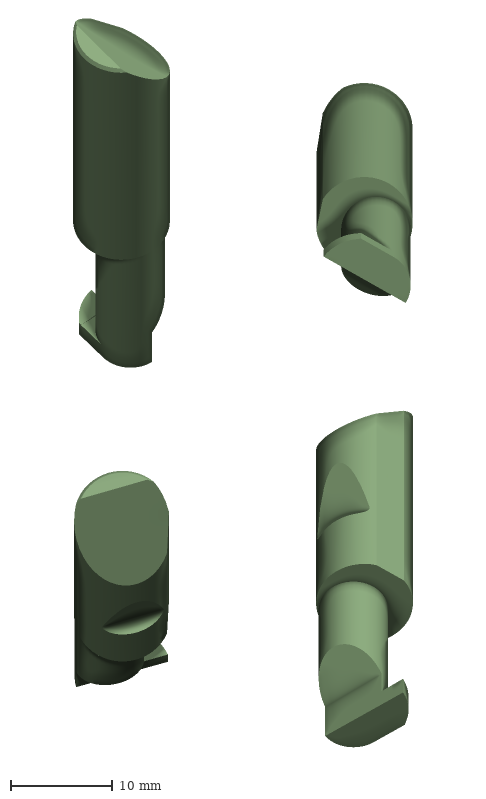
import cadquery as cq
import math

total_length = 50.8
shank_diameter = 9.55
shank_radius = shank_diameter / 2
shank_bottom = 19.0
top_chamfer = 0.3
margin = 10.15

neck_diameter = 6.85
neck_radius = neck_diameter / 2
neck_center_x = shank_radius - neck_radius
relief_start = 5.3

bevel_height = 7.65
flat_angle = 20.0
notch_bottom = 27.65
notch_top = 37.3
notch_taper = 8.0
notch_radius = 0.95

head_blank_height = 3.05
tip_top = 2.35
shoulder_top = 2.15
tip_x = -4.65
head_corner = (-2.8, -3.15)
head_arc_middle = (-4.1, -1.7)
head_front_left = -2.45
ridge_x = neck_center_x - neck_radius
relief_x = 2.0
relief_y = 3.0


def side_prism(points):
    """Prism along X, wide enough to cross the shank, from (y, z) points."""
    return cq.Workplane("YZ").polyline(points).close().extrude(margin, both=True)


def make_shank():
    shank = cq.Workplane("XY").workplane(offset=shank_bottom).circle(shank_radius)
    shank = shank.extrude(total_length - shank_bottom).faces(">Z").chamfer(top_chamfer)
    bevel = side_prism([
        (shank_radius - bevel_height, total_length),
        (shank_radius + margin, total_length - bevel_height - margin),
        (shank_radius + margin, total_length),
    ])
    return shank.cut(bevel).cut(make_side_flat()).cut(make_clamp_notch())


def make_side_flat():
    """Material outside a chord that starts at the -X point of the shank."""
    reach = margin * math.tan(math.radians(flat_angle))
    outline = [(-shank_radius, 0), (-shank_radius + reach, margin), (-shank_radius, margin)]
    return cq.Workplane("XY").polyline(outline).close().extrude(total_length)


def make_clamp_notch():
    """Tapered notch in the +Y side with a rounded lower corner."""
    slope = math.tan(math.radians(notch_taper))
    floor_y = shank_radius - (notch_top - notch_bottom) * slope
    outer_y = shank_radius + margin
    notch = side_prism([
        (floor_y, notch_bottom),
        (shank_radius, notch_top),
        (outer_y, notch_top),
        (outer_y, notch_bottom),
    ])
    return notch.edges("|X and <Y").fillet(notch_radius)


def make_neck():
    neck = cq.Workplane("XY").center(neck_center_x, 0).circle(neck_radius).extrude(shank_bottom)
    relief = side_prism([
        (0, -margin),
        (0, relief_start),
        (margin, relief_start + margin),
        (margin, -margin),
    ])
    return neck.cut(relief)


def make_head():
    blank = (
        cq.Workplane("XY")
        .moveTo(tip_x, 0)
        .threePointArc(head_arc_middle, head_corner)
        .lineTo(head_front_left, -neck_radius)
        .lineTo(neck_center_x, -neck_radius)
        .lineTo(neck_center_x, 0)
        .close()
        .extrude(head_blank_height)
    )
    return blank.cut(make_tip_top_cut()).cut(make_shoulder_top_cut())


def make_tip_top_cut():
    """Space above the tip, on the -X side of the step; its floor falls towards -Y."""
    drop = neck_diameter * math.tan(math.radians(relief_y))
    profile = [
        (0, tip_top),
        (-neck_diameter, tip_top - drop),
        (-neck_diameter, head_blank_height),
        (0, head_blank_height),
    ]
    wedge = cq.Workplane("YZ", origin=(ridge_x, 0, 0)).polyline(profile).close()
    return wedge.extrude(-margin)


def make_shoulder_top_cut():
    """Space above the head beside the neck; its floor rises towards +X."""
    rise = (neck_center_x - ridge_x) * math.tan(math.radians(relief_x))
    profile = [
        (ridge_x, shoulder_top),
        (neck_center_x, shoulder_top + rise),
        (neck_center_x, head_blank_height),
        (ridge_x, head_blank_height),
    ]
    return cq.Workplane("XZ").polyline(profile).close().extrude(margin)


def make_underside_cut():
    """Block below the underside, which slopes up from the tip in X and Y."""
    return (
        cq.Workplane("XY")
        .box(2 * margin, 2 * margin, margin, centered=(True, True, False))
        .translate((0, 0, -margin))
        .rotate((0, 0, 0), (1, 0, 0), -relief_y)
        .rotate((0, 0, 0), (0, 1, 0), -relief_x)
        .translate((tip_x, 0, 0))
    )


lower_end = make_neck().union(make_head()).cut(make_underside_cut())
result = make_shank().union(lower_end)